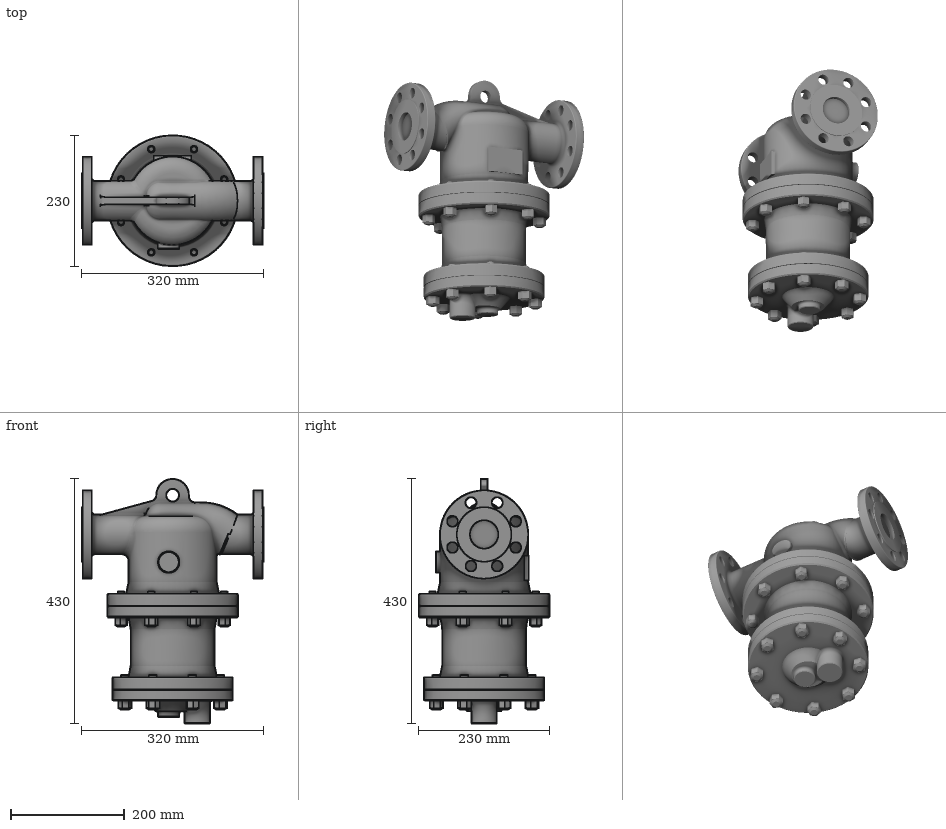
import cadquery as cq
import math

overall_height = 430
touch = 0.1

pipe_radius = 70.0 / 2
pipe_z = 332.5
pipe_flange_radius = 155.0 / 2
pipe_flange_back_x = 142.0
pipe_flange_front_x = 158.0
pipe_face_x = 160.0
pipe_face_radius = 96.0 / 2
pipe_neck_fillet = 5.0
pipe_bore_radius = 50.0 / 2
pipe_bore_depth = 8.5
pipe_bolt_circle_radius = 60.0
pipe_hole_radius = 19.0 / 2
pipe_edge_fillet = 1.5

housing_radius = 155.0 / 2
housing_bottom_z = 248.5
housing_top_z = 364.5
dome_fillet = 28.0
inlet_end_x = -34.5
inlet_fillet = 10.7
outlet_fillet = 3.5

crossover_z = 354.0
crossover_left_x = -48.0
crossover_end_fillet = 26.2
elbow_start_x = 50.5
elbow_bend_radius = 2 * pipe_radius
elbow_angle = 46
elbow_sweep = 68
mitre_overlap = 3.5
outlet_start_x = 43
crossover_top_z = crossover_z + pipe_radius

lug_radius = 29.0
lug_z = overall_height - lug_radius
lug_hole_radius = 22.0 / 2
lug_thickness = 12.0
lug_corner_fillet = 10.5
lug_base_fillet = 5.0
lug_base_z = crossover_top_z
lug_base_right_x = lug_radius + lug_corner_fillet
rib_left_x = -127.3
rib_left_z = pipe_z + pipe_radius - 1.0
rib_top_z = 393.5

shell_radius = 148.0 / 2
shell_flare_radius = 77.5
upper_flare_radius = 81.3
shell_flare_bottom_z = 101.5
shell_flare_top_z = 166.5

bolt_count = 8
joint_groove_height = 1.5
joint_groove_depth = 2.5
joint_bottom_chamfer = 2.0
hub_fillet = 2.5

upper_joint_radius = 230.0 / 2
upper_joint_bottom_z = 186.0
upper_joint_groove_z = 207.0
upper_joint_top_z = 228.5
upper_joint_top_fillet = 3.5
upper_bolt_circle_radius = 98.0
upper_bolt_radius = 12.0 / 2
upper_nut_corners = 23.0
upper_nut_turn = 0

lower_joint_radius = 212.0 / 2
lower_joint_bottom_z = 40.0
lower_joint_groove_z = 59.8
lower_joint_top_z = 81.5
lower_joint_top_fillet = 2.5
lower_bolt_circle_radius = 90.7
lower_bolt_radius = 14.0 / 2
lower_nut_corners = 23.5
lower_nut_turn = 45

bolt_tip_height = 4.5
bolt_tip_chamfer = 1.5
nut_height = 13.0
nut_end_height = 3.0
nut_end_radius_ratio = 0.6

plug_radius = 38.0 / 2
plug_x = -7.0
plug_chamfer = 1.5
side_plug_z = 283.8
side_plug_face_y = -85.0
side_plug_fillet = 1.7
bottom_plug_z = 11.5
drain_x = 43.5
drain_radius = 45.0 / 2
bottom_fillet = 3.0
cover_radius = 77.5
cover_top_z = 51.5
dish_top_radius = 45.5
dish_bottom_radius = 29.2
dish_bottom_z = 21.5
plate_half_width = 32.5
plate_bottom_z = 251.5
plate_top_z = 295.0
plate_face_y = 78.5
plate_back_y = 64.5


def x_cylinder(start_x, end_x, z, radius):
    return cq.Workplane("YZ", origin=(start_x, 0, z)).circle(radius).extrude(end_x - start_x)


def z_cylinder(x, start_z, end_z, radius):
    return cq.Workplane("XY", origin=(x, 0, start_z)).circle(radius).extrude(end_z - start_z)


def z_cone(start_z, start_radius, end_z, end_radius):
    cone = cq.Solid.makeCone(start_radius, end_radius, end_z - start_z, cq.Vector(0, 0, start_z))
    return cq.Workplane("XY").add(cone)


def fillet_edges(part, is_wanted, radius):
    wanted = [edge for edge in part.edges().vals() if is_wanted(edge)]
    return part.newObject(wanted).fillet(radius)


def make_housing():
    housing = z_cylinder(0, housing_bottom_z, housing_top_z, housing_radius)
    return housing.faces(">Z").edges().fillet(dome_fillet)


def add_inlet(body):
    """Inlet pipe blended into the housing wall."""
    body = body.union(x_cylinder(-pipe_flange_back_x, inlet_end_x, pipe_z, pipe_radius))

    def is_inlet_seam(edge):
        return edge.geomType() == "BSPLINE"

    return fillet_edges(body, is_inlet_seam, inlet_fillet)


def add_outlet(body):
    """Crossover, elbow and outlet pipe blended into the housing."""
    crossover = x_cylinder(crossover_left_x, elbow_start_x, crossover_z, pipe_radius)
    crossover = crossover.faces("<X").edges().fillet(crossover_end_fillet)
    elbow = (
        cq.Workplane("YZ", origin=(elbow_start_x, 0, crossover_z))
        .circle(pipe_radius)
        .revolve(elbow_sweep, (-4.5, -elbow_bend_radius, 0), (4.5, -elbow_bend_radius, 0))
    )
    mitre_x = elbow_start_x + elbow_bend_radius * math.sin(math.radians(elbow_angle))
    past_mitre = (
        cq.Workplane("XY")
        .box(pipe_flange_back_x, 4 * pipe_radius, 8 * pipe_radius, centered=(False, True, True))
        .rotate((0, 0, 0), (0, 1, 0), elbow_angle / 2)
        .translate((mitre_x, 0, pipe_z))
    )
    elbow = elbow.cut(past_mitre)
    outlet = x_cylinder(outlet_start_x, pipe_flange_back_x, pipe_z, pipe_radius)
    outlet = outlet.intersect(past_mitre.translate((-mitre_overlap, 0, 0)))
    body = body.union(crossover.union(elbow).union(outlet))

    def is_outlet_seam(edge):
        center = edge.Center()
        beyond_inlet = center.x > crossover_left_x - inlet_fillet
        free_curve = edge.geomType() == "BSPLINE"
        at_outlet = 0 < center.x < housing_radius
        at_inlet = center.x < crossover_left_x + inlet_fillet
        on_top = abs(center.z - housing_top_z) < touch and abs(center.y) < pipe_radius
        return beyond_inlet and (on_top or free_curve and (at_outlet or at_inlet))

    return fillet_edges(body, is_outlet_seam, outlet_fillet)


def make_pipe_flange():
    """Inlet flange facing -X."""
    flange = x_cylinder(-pipe_flange_front_x, -pipe_flange_back_x, pipe_z, pipe_flange_radius)
    flange = flange.edges().fillet(pipe_edge_fillet)
    face = x_cylinder(-pipe_face_x, -pipe_flange_back_x, pipe_z, pipe_face_radius)
    neck_end_x = -pipe_flange_back_x + 2 * pipe_neck_fillet
    neck = x_cylinder(-pipe_flange_back_x, neck_end_x, pipe_z, pipe_radius)
    flange = flange.union(face).union(neck)

    def is_neck_seam(edge):
        at_back = abs(edge.Center().x + pipe_flange_back_x) < touch
        return at_back and edge.Length() < 2 * math.pi * pipe_face_radius

    flange = fillet_edges(flange, is_neck_seam, pipe_neck_fillet)
    bore = x_cylinder(-pipe_face_x, -pipe_face_x + pipe_bore_depth, pipe_z, pipe_bore_radius)
    holes = (
        cq.Workplane("YZ", origin=(-pipe_face_x, 0, pipe_z))
        .polarArray(pipe_bolt_circle_radius, 180 / bolt_count, 360, bolt_count)
        .circle(pipe_hole_radius)
        .extrude(pipe_face_x - pipe_flange_back_x)
    )
    return flange.cut(bore).cut(holes)


def make_lug_plate(thickness):
    """Plate with the lifting eye and the rib that runs down to the inlet."""
    plate = (
        cq.Workplane("XZ", origin=(0, thickness / 2, 0))
        .moveTo(rib_left_x, pipe_z + pipe_radius / 2)
        .lineTo(rib_left_x, rib_left_z)
        .lineTo(-lug_radius, rib_top_z)
        .lineTo(-lug_radius, lug_z)
        .threePointArc((0, lug_z + lug_radius), (lug_radius, lug_z))
        .lineTo(lug_radius, lug_base_z + lug_corner_fillet)
        .radiusArc((lug_base_right_x, lug_base_z), -lug_corner_fillet)
        .lineTo(lug_base_right_x, pipe_z + pipe_radius / 2)
        .close()
        .extrude(thickness)
    )

    def is_lug_corner(edge):
        center = edge.Center()
        at_side = abs(center.x + lug_radius) < touch
        return at_side and abs(center.y) < touch and center.z < lug_z - touch

    return fillet_edges(plate, is_lug_corner, lug_corner_fillet)


def foot_profile(x, z, radius):
    """Cross-section of the blend between the lug plate and a round surface centred at height z."""
    blend_center_y = lug_thickness / 2 + lug_base_fillet
    blend_reach = radius + lug_base_fillet
    blend_center_z = math.sqrt(blend_reach**2 - blend_center_y**2)
    contact_y = blend_center_y * radius / blend_reach
    contact_z = blend_center_z * radius / blend_reach
    buried_z = radius / 2
    return (
        cq.Workplane("YZ", origin=(x, 0, z))
        .moveTo(-contact_y, buried_z)
        .lineTo(-contact_y, contact_z)
        .radiusArc((-lug_thickness / 2, blend_center_z), -lug_base_fillet)
        .lineTo(lug_thickness / 2, blend_center_z)
        .radiusArc((contact_y, contact_z), -lug_base_fillet)
        .lineTo(contact_y, buried_z)
        .close()
    )


def make_lug():
    """Lug plate with blended feet along the inlet and the crossover."""
    inlet_foot = foot_profile(rib_left_x, pipe_z, pipe_radius).extrude(crossover_left_x - rib_left_x)
    crossover_foot_x = crossover_left_x + crossover_end_fillet
    crossover_foot = foot_profile(crossover_foot_x, crossover_z, pipe_radius)
    crossover_foot = crossover_foot.extrude(lug_base_right_x - crossover_foot_x)
    end_foot = foot_profile(crossover_foot_x, crossover_z, pipe_radius)
    end_pivot_y = pipe_radius - crossover_end_fillet
    end_foot = end_foot.revolve(90, (4.5, end_pivot_y, 0), (-4.5, end_pivot_y, 0))
    feet = inlet_foot.union(crossover_foot).union(end_foot).intersect(make_lug_plate(4 * lug_thickness))
    eye = cq.Workplane("XZ", origin=(0, lug_thickness, lug_z)).circle(lug_hole_radius)
    return make_lug_plate(lug_thickness).union(feet).cut(eye.extrude(2 * lug_thickness))


def add_side_plug(body):
    plug = (
        cq.Workplane("XZ", origin=(plug_x, -housing_radius / 2, side_plug_z))
        .circle(plug_radius)
        .extrude(-side_plug_face_y - housing_radius / 2)
    )
    plug = plug.faces("<Y").edges().chamfer(plug_chamfer)
    body = body.union(plug)

    def is_plug_seam(edge):
        center = edge.Center()
        near_plug = abs(center.x - plug_x) < plug_radius and abs(center.z - side_plug_z) < plug_radius
        return near_plug and edge.geomType() == "BSPLINE"

    return fillet_edges(body, is_plug_seam, side_plug_fillet)


def make_rear_plate():
    return (
        cq.Workplane("XZ", origin=(0, plate_face_y, (plate_bottom_z + plate_top_z) / 2))
        .rect(2 * plate_half_width, plate_top_z - plate_bottom_z)
        .extrude(plate_face_y - plate_back_y)
    )


def make_joint(radius, bottom_z, groove_z, top_z, top_fillet, hub_radius):
    """Pair of flanges with a gasket groove between them and a hub blend on top."""
    joint = z_cylinder(0, bottom_z, top_z, radius)
    joint = joint.faces(">Z").edges().fillet(top_fillet)
    joint = joint.faces("<Z").edges().chamfer(joint_bottom_chamfer)
    groove = (
        cq.Workplane("XY", origin=(0, 0, groove_z - joint_groove_height / 2))
        .circle(radius)
        .circle(radius - joint_groove_depth)
        .extrude(joint_groove_height)
    )
    hub = (
        cq.Workplane("XZ")
        .moveTo(0, top_z)
        .lineTo(hub_radius + hub_fillet, top_z)
        .radiusArc((hub_radius, top_z + hub_fillet), hub_fillet)
        .lineTo(0, top_z + hub_fillet)
        .close()
        .revolve(360, (0, 0, 0), (0, 1, 0))
    )
    return joint.cut(groove).union(hub)


def make_bolts(circle_radius, bolt_radius, nut_corners, nut_turn, bottom_z, top_z):
    """Ring of bolts: round tips above the joint, hexagon nuts below it."""
    tip = z_cylinder(0, top_z - bolt_radius, top_z + bolt_tip_height, bolt_radius)
    tip = tip.faces(">Z").edges().chamfer(bolt_tip_chamfer)
    nut_bottom_z = bottom_z - nut_height
    nut = cq.Workplane("XY", origin=(0, 0, bottom_z + bolt_radius))
    nut = nut.polygon(6, nut_corners).extrude(-nut_height - bolt_radius)
    nut_flat_radius = nut_corners / 2 * math.cos(math.pi / 6)
    nut_end_radius = nut_flat_radius * nut_end_radius_ratio
    nut_end = z_cone(nut_bottom_z - nut_end_height, nut_end_radius, nut_bottom_z, nut_flat_radius)
    bolt = cq.Workplane("XY").add(tip.val()).add(nut.union(nut_end).val())
    bolt = bolt.rotate((0, 0, 0), (0, 0, 1), nut_turn)
    bolt = bolt.translate((circle_radius, 0, 0))
    step = 360 / bolt_count
    bolts = cq.Workplane("XY")
    for index in range(bolt_count):
        bolts = bolts.add(bolt.rotate((0, 0, 0), (0, 0, 1), (index + 0.5) * step))
    return bolts


def make_shell():
    """Tube between the joints, flared towards both flanges."""
    lower_hub_z = lower_joint_top_z + hub_fillet
    upper_hub_z = upper_joint_top_z + hub_fillet
    shell = z_cylinder(0, shell_flare_bottom_z, shell_flare_top_z, shell_radius)
    shell = shell.union(z_cone(lower_hub_z, shell_flare_radius, shell_flare_bottom_z, shell_radius))
    shell = shell.union(z_cone(shell_flare_top_z, shell_radius, upper_joint_bottom_z, shell_flare_radius))
    return shell.union(z_cone(upper_hub_z, upper_flare_radius, housing_bottom_z, housing_radius))


def make_bottom():
    """Dished bottom cover carrying the screw plug and the drain pipe."""
    cover = z_cylinder(0, lower_joint_bottom_z, cover_top_z, cover_radius)
    cover = cover.union(z_cone(dish_bottom_z, dish_bottom_radius, lower_joint_bottom_z, dish_top_radius))
    plug = z_cylinder(plug_x, bottom_plug_z, lower_joint_bottom_z, plug_radius)
    cover = cover.union(plug.faces("<Z").edges().chamfer(plug_chamfer))

    def is_plug_seam(edge):
        center = edge.Center()
        return abs(center.z - dish_bottom_z) < touch and abs(center.x - plug_x) < touch

    cover = fillet_edges(cover, is_plug_seam, bottom_fillet)
    drain = z_cylinder(drain_x, 0, cover_top_z, drain_radius)
    cover = cover.union(drain.faces("<Z").edges().chamfer(plug_chamfer))

    def is_drain_seam(edge):
        center = edge.Center()
        beside_drain = center.x > drain_x - drain_radius
        at_cover = dish_bottom_z - touch < center.z < lower_joint_bottom_z + touch
        return beside_drain and at_cover and edge.geomType() != "LINE"

    return fillet_edges(cover, is_drain_seam, bottom_fillet)


body = add_outlet(add_inlet(make_housing()))
body = add_side_plug(body).union(make_lug())
pipe_flange = make_pipe_flange()
upper_joint = make_joint(
    upper_joint_radius,
    upper_joint_bottom_z,
    upper_joint_groove_z,
    upper_joint_top_z,
    upper_joint_top_fillet,
    upper_flare_radius,
)
lower_joint = make_joint(
    lower_joint_radius,
    lower_joint_bottom_z,
    lower_joint_groove_z,
    lower_joint_top_z,
    lower_joint_top_fillet,
    shell_flare_radius,
)
upper_bolts = make_bolts(
    upper_bolt_circle_radius,
    upper_bolt_radius,
    upper_nut_corners,
    upper_nut_turn,
    upper_joint_bottom_z,
    upper_joint_top_z,
)
lower_bolts = make_bolts(
    lower_bolt_circle_radius,
    lower_bolt_radius,
    lower_nut_corners,
    lower_nut_turn,
    lower_joint_bottom_z,
    lower_joint_top_z,
)

result = (
    body.union(make_rear_plate())
    .union(pipe_flange)
    .union(pipe_flange.mirror("YZ"))
    .union(make_shell())
    .union(upper_joint)
    .union(lower_joint)
    .union(make_bottom())
)
for bolt_part in upper_bolts.vals() + lower_bolts.vals():
    result = result.union(cq.Workplane("XY").add(bolt_part))